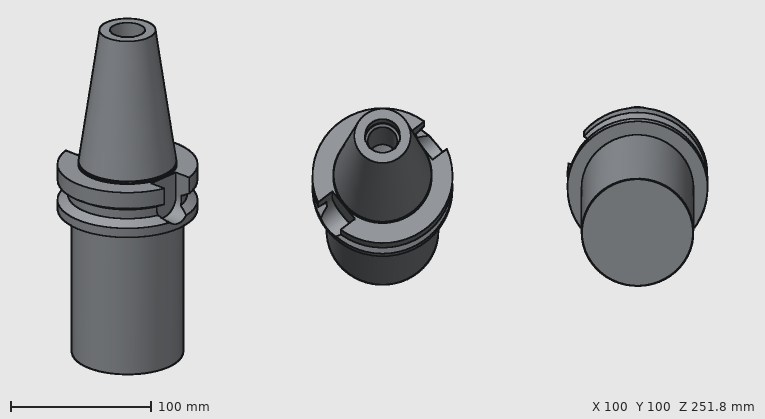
import cadquery as cq
import math

TAPER_LENGTH = 101.8
BODY_REACH = 150.0

GAUGE_DIAMETER = 69.85
TAPER_RATIO = 7 / 24
TAPER_TIP_DIAMETER = GAUGE_DIAMETER - TAPER_LENGTH * TAPER_RATIO
NECK_DIAMETER = 69.4
TAPER_OVERRUN = 1.0
NECK_CHAMFER = 0.6

FLANGE_DIAMETER = 100.0
FLANGE_TOP = -3.0
FLANGE_BOTTOM = -38.0
GROOVE_DIAMETER = 85.3
GROOVE_CENTER = -23.15
GROOVE_FLOOR_WIDTH = 7.0
GROOVE_FLANK_ANGLE = 30.0

BODY_DIAMETER = 80.0
BODY_CHAMFER = 0.5

SLOT_CORNER_DIAMETER = 25.47
SLOT_BOTTOM_FLAT = 0.4
SLOT_WIDTH = SLOT_CORNER_DIAMETER + SLOT_BOTTOM_FLAT
SLOT_FLOOR_OFFSET = 35.3
SLOT_DEPTH = 31.0

COUNTERBORE_DIAMETER = 25.02
COUNTERBORE_DEPTH = 11.0
RELIEF_DIAMETER = 25.47
RELIEF_DEPTH = 13.0
LEAD_IN_ANGLE = 120.0
BORE_DIAMETER = 21.0
BORE_DEPTH = 60.0
DRILL_POINT_ANGLE = 118.0


def make_holder_blank():
    """Taper, neck, grooved flange and body, turned around Z."""
    rim_radius = (GAUGE_DIAMETER + TAPER_OVERRUN * TAPER_RATIO) / 2
    neck_radius = NECK_DIAMETER / 2
    flange_radius = FLANGE_DIAMETER / 2
    groove_radius = GROOVE_DIAMETER / 2
    body_radius = BODY_DIAMETER / 2
    floor_half_width = GROOVE_FLOOR_WIDTH / 2
    flank_height = (flange_radius - groove_radius) * math.tan(math.radians(GROOVE_FLANK_ANGLE))
    mouth_half_width = floor_half_width + flank_height
    profile = [
        (0, TAPER_LENGTH),
        (TAPER_TIP_DIAMETER / 2, TAPER_LENGTH),
        (rim_radius, -TAPER_OVERRUN),
        (neck_radius, -TAPER_OVERRUN),
        (neck_radius, FLANGE_TOP + NECK_CHAMFER),
        (neck_radius + NECK_CHAMFER, FLANGE_TOP),
        (flange_radius, FLANGE_TOP),
        (flange_radius, GROOVE_CENTER + mouth_half_width),
        (groove_radius, GROOVE_CENTER + floor_half_width),
        (groove_radius, GROOVE_CENTER - floor_half_width),
        (flange_radius, GROOVE_CENTER - mouth_half_width),
        (flange_radius, FLANGE_BOTTOM),
        (body_radius, FLANGE_BOTTOM),
        (body_radius, BODY_CHAMFER - BODY_REACH),
        (body_radius - BODY_CHAMFER, -BODY_REACH),
        (0, -BODY_REACH),
    ]
    return cq.Workplane("XZ").polyline(profile).close().revolve(360, (0, 0, 0), (0, 1, 0))


def make_drive_slot(side):
    """Slot cutter with rounded bottom corners on the +X (side = 1) or -X (side = -1) side."""
    half_width = SLOT_WIDTH / 2
    half_flat = SLOT_BOTTOM_FLAT / 2
    corner_radius = SLOT_CORNER_DIAMETER / 2
    slot_bottom = FLANGE_TOP - SLOT_DEPTH
    corner_height = slot_bottom + corner_radius
    return (
        cq.Workplane("YZ", origin=(side * SLOT_FLOOR_OFFSET, 0, 0))
        .moveTo(-half_width, FLANGE_TOP)
        .lineTo(-half_width, corner_height)
        .radiusArc((-half_flat, slot_bottom), -corner_radius)
        .lineTo(half_flat, slot_bottom)
        .radiusArc((half_width, corner_height), -corner_radius)
        .lineTo(half_width, FLANGE_TOP)
        .close()
        .extrude(side * FLANGE_DIAMETER / 2)
    )


def make_tip_hole():
    """Blind hole: counterbore, slightly wider relief, conical lead-in, bore and drill point."""
    counterbore_radius = COUNTERBORE_DIAMETER / 2
    relief_radius = RELIEF_DIAMETER / 2
    bore_radius = BORE_DIAMETER / 2
    counterbore_floor = TAPER_LENGTH - COUNTERBORE_DEPTH
    relief_floor = TAPER_LENGTH - RELIEF_DEPTH
    lead_in_height = (relief_radius - bore_radius) / math.tan(math.radians(LEAD_IN_ANGLE / 2))
    bore_end = TAPER_LENGTH - BORE_DEPTH
    point_height = bore_radius / math.tan(math.radians(DRILL_POINT_ANGLE / 2))
    profile = [
        (0, TAPER_LENGTH),
        (counterbore_radius, TAPER_LENGTH),
        (counterbore_radius, counterbore_floor),
        (relief_radius, counterbore_floor),
        (relief_radius, relief_floor),
        (bore_radius, relief_floor - lead_in_height),
        (bore_radius, bore_end),
        (0, bore_end - point_height),
    ]
    return cq.Workplane("XZ").polyline(profile).close().revolve(360, (0, 0, 0), (0, 1, 0))


result = make_holder_blank().cut(make_tip_hole())
for side in (-1, 1):
    result = result.cut(make_drive_slot(side))